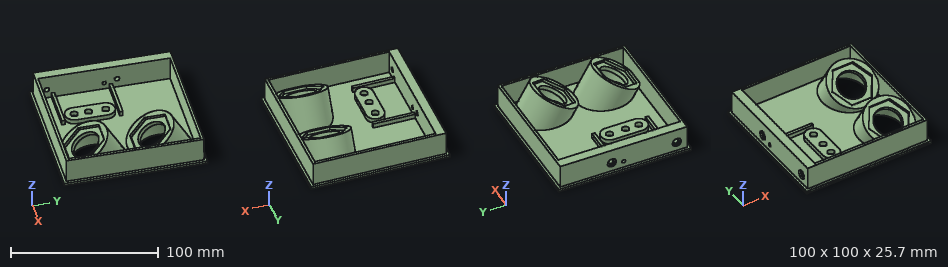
import cadquery as cq
import math

flange_side = 100.0
flange_thickness = 2.0
body_side = 96.0
body_height = 20.0
floor_height = 2.0
wall = 2.0
thick_wall = 7.0

socket_diameter = 37.0
socket_tilt = 30.0
socket_x = 28.0
socket_top_ys = (15.2, -31.0)
overall_height = 25.7
hex_across_corners = 32.3
hex_depth = 2.0
lip_thickness = 3.0
lip_bore = 21.0
lower_bore = 31.0
tool_length = 60.0

boss_x = -16.0
boss_y = -16.0
boss_width = 13.0
boss_length = 35.0
boss_height = 3.5
boss_hole = 5.0
boss_hole_ys = (-5.0, -17.0, -27.0)

rib_ys = (4.6, -35.7)
rib_width = 2.2
rib_end_x = -10.7
rib_height = 3.5

screw_ys = (9.0, -40.0)
screw_z = 9.0
screw_hole = 3.4
screw_head = 6.5
screw_head_depth = 1.5
cable_hole = 2.6
cable_y = 0.0
cable_z = 7.0

half_body = body_side / 2
cavity_min_x = -half_body + thick_wall
cavity_max_x = half_body - wall
cavity_length = body_side - 2 * wall
tilt = math.radians(socket_tilt)
socket_top_z = overall_height - socket_diameter / 2 * math.sin(tilt)


def block(x_min, x_max, y_center, y_size, z_min, z_max):
    """Box given by its X range, Y centre and size, and Z range."""
    box = cq.Workplane("XY").box(x_max - x_min, y_size, z_max - z_min, centered=(False, True, False))
    return box.translate((x_min, y_center, z_min))


def socket_plane(top_y, depth=0.0):
    """Plane across a socket's axis, at a depth below its top face."""
    normal = cq.Vector(0, -math.sin(tilt), math.cos(tilt))
    origin = cq.Vector(socket_x, top_y, socket_top_z) - normal * depth
    return cq.Workplane(cq.Plane(origin=origin, xDir=(1, 0, 0), normal=normal))


def socket_body(top_y):
    """Tilted cylinder, kept within the tray walls and above the underside."""
    cylinder = socket_plane(top_y).circle(socket_diameter / 2).extrude(-tool_length)
    limits = block(-half_body, half_body, 0, body_side, 0, overall_height)
    return cylinder.intersect(limits)


def socket_cut(top_y):
    """Hexagonal recess, lip bore and wider bore below the lip, clear of the walls."""
    recess = socket_plane(top_y).polygon(6, hex_across_corners).extrude(-hex_depth)
    bore = socket_plane(top_y, hex_depth).circle(lip_bore / 2).extrude(-tool_length)
    lower = socket_plane(top_y, hex_depth + lip_thickness).circle(lower_bore / 2).extrude(-tool_length)
    return recess.union(bore).union(lower)


def wall_hole(diameter, y, z, depth):
    """Hole along X from the outer face of the thick wall."""
    plane = cq.Plane(origin=(-half_body, y, z), xDir=(0, 1, 0), normal=(1, 0, 0))
    return cq.Workplane(plane).circle(diameter / 2).extrude(depth)


result = block(-flange_side / 2, flange_side / 2, 0, flange_side, 0, flange_thickness)
result = result.union(block(-half_body, half_body, 0, body_side, 0, body_height))
result = result.cut(block(cavity_min_x, cavity_max_x, 0, cavity_length, floor_height, body_height))

for top_y in socket_top_ys:
    result = result.union(socket_body(top_y))
for top_y in socket_top_ys:
    result = result.cut(socket_cut(top_y))

boss_base = cq.Workplane("XY", origin=(boss_x, boss_y, floor_height))
result = result.union(boss_base.slot2D(boss_length, boss_width, 90).extrude(boss_height))
hole_base = cq.Workplane("XY", origin=(boss_x, 0, floor_height))
hole_centers = [(0, y) for y in boss_hole_ys]
result = result.cut(hole_base.pushPoints(hole_centers).circle(boss_hole / 2).extrude(boss_height))

rib_top = floor_height + rib_height
for rib_y in rib_ys:
    result = result.union(block(cavity_min_x, rib_end_x, rib_y, rib_width, floor_height, rib_top))

for screw_y in screw_ys:
    result = result.cut(wall_hole(screw_hole, screw_y, screw_z, thick_wall))
    result = result.cut(wall_hole(screw_head, screw_y, screw_z, screw_head_depth))
result = result.cut(wall_hole(cable_hole, cable_y, cable_z, thick_wall))